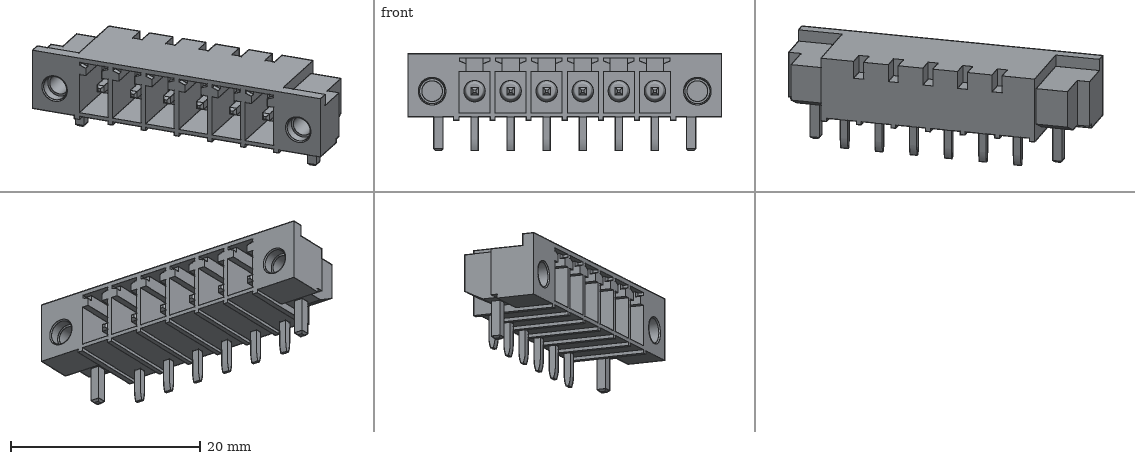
import cadquery as cq
import math


LENGTH = 33.15
DEPTH = 9.2
HEIGHT = 7.05
FLOOR_Z = 0.35

POLE_COUNT = 6
PITCH = 3.8
FIRST_POLE_X = -PITCH * (POLE_COUNT - 1) / 2
POLE_X = [FIRST_POLE_X + PITCH * i for i in range(POLE_COUNT)]
WALL_X = [x + PITCH / 2 for x in POLE_X[:-1]]

CAVITY_WIDTH = 3.28
CAVITY_BOTTOM_Z = 0.8
CAVITY_TOP_Z = 5.17
CAVITY_DEPTH = 5.97
INNER_WALL = PITCH - CAVITY_WIDTH
CAVITY_ROW_LENGTH = PITCH * POLE_COUNT - INNER_WALL
END_WALL = 0.6
BODY_LENGTH = CAVITY_ROW_LENGTH + 2 * END_WALL

SLOT_WIDTH = 1.82
SLOT_DEPTH = 3.98
SLOT_TOP_Z = 6.55
FLARE_WIDTH = 3.2
FLARE_EDGE_HEIGHT = 0.3
FLARE_HEIGHT = 0.55
FLARE_DEPTH = 0.6

FLANGE_THICKNESS = 1.3
WING_TOP_Z = 5.8
WING_BACK_Y = 8.65
WING_STEP_Y = 4.28
SEAT_Z = 0.8
SLOPE_START_Y = 6.55
SLOPE_END_Z = 1.82
WING_REAR_LENGTH = 30.43
SHOULDER_Y = 4.97

HOLE_X = 14.02
AXIS_Z = 3.08
HOLE_RADIUS = 1.33
HOLE_DEPTH = 1.23
HOLE_MOUTH_RADIUS = 1.45
HOLE_MOUTH_DEPTH = 0.13
PILOT_RADIUS = 1.1
PILOT_DEPTH = 4.97

NOTCH_WIDTH = 1.1
NOTCH_DEPTH = 2.0
NOTCH_FLOOR_Z = CAVITY_TOP_Z

COLLAR_BASE_RADIUS = 1.13
COLLAR_TOP_RADIUS = 0.9
COLLAR_HEIGHT = 0.73
COLLAR_ROUND = 0.182

PIN_SIZE = 0.8
PIN_TIP_Y = 1.52
PIN_TIP_SIZE = 0.3
PIN_TIP_LENGTH = 0.33
LEG_Y = 7.92
LEG_THICKNESS = 0.73
LEG_BOTTOM_Z = -3.2
LEG_TIP_THICKNESS = 0.3
LEG_TIP_HEIGHT = 1.15

PEG_X = 13.35
PEG_Y = 5.67
PEG_SIZE = 1.03
PEG_CHAMFER = 0.23


def box(x_center, width, y_min, y_max, z_min, z_max):
    """Box centred on x_center and spanning the given Y and Z ranges."""
    return (
        cq.Workplane("XY")
        .box(width, y_max - y_min, z_max - z_min, centered=(True, False, False))
        .translate((x_center, y_min, z_min))
    )


def revolved(profile, x):
    """Turn a closed (radius, Y) profile about the Y-parallel axis at x and AXIS_Z."""
    return (
        cq.Workplane("XY")
        .polyline(profile)
        .close()
        .revolve(360, (0, 0, 0), (0, 1, 0))
        .translate((x, 0, AXIS_Z))
    )


def make_wings():
    """Flange and both wings as one side profile, narrowed behind the shoulders."""
    profile = [
        (0, FLOOR_Z),
        (WING_STEP_Y, FLOOR_Z),
        (WING_STEP_Y, SEAT_Z),
        (SLOPE_START_Y, SEAT_Z),
        (WING_BACK_Y, SLOPE_END_Z),
        (WING_BACK_Y, WING_TOP_Z),
        (FLANGE_THICKNESS, WING_TOP_Z),
        (FLANGE_THICKNESS, HEIGHT),
        (0, HEIGHT),
    ]
    wings = cq.Workplane("YZ").polyline(profile).close().extrude(LENGTH / 2, both=True)
    front = box(0, LENGTH, 0, SHOULDER_Y, 0, HEIGHT)
    rear = box(0, WING_REAR_LENGTH, SHOULDER_Y, DEPTH, 0, HEIGHT)
    return wings.intersect(front.union(rear))


def make_ribs():
    """Standing ribs below every cavity wall."""
    end_x = (CAVITY_ROW_LENGTH + END_WALL) / 2
    ribs = box(-end_x, END_WALL, 0, DEPTH, 0, FLOOR_Z)
    ribs = ribs.union(box(end_x, END_WALL, 0, DEPTH, 0, FLOOR_Z))
    for x in WALL_X:
        ribs = ribs.union(box(x, INNER_WALL, 0, DEPTH, 0, FLOOR_Z))
    return ribs


def make_collar(x):
    """Tapered collar with a rounded front rim, on the back wall of a cavity."""
    front_y = CAVITY_DEPTH - COLLAR_HEIGHT
    collar = revolved(
        [
            (0, CAVITY_DEPTH),
            (COLLAR_BASE_RADIUS, CAVITY_DEPTH),
            (COLLAR_TOP_RADIUS, front_y),
            (0, front_y),
        ],
        x,
    )
    return collar.faces("<Y").edges().fillet(COLLAR_ROUND)


def make_cavity(x):
    """Plug cavity with its latch slot and flared slot mouth, minus the contact collar."""
    cavity = box(x, CAVITY_WIDTH, 0, CAVITY_DEPTH, CAVITY_BOTTOM_Z, CAVITY_TOP_Z)
    slot = box(x, SLOT_WIDTH, 0, SLOT_DEPTH, CAVITY_TOP_Z, SLOT_TOP_Z)
    flare = (
        cq.Workplane("XZ")
        .polyline([
            (-FLARE_WIDTH / 2, SLOT_TOP_Z),
            (FLARE_WIDTH / 2, SLOT_TOP_Z),
            (FLARE_WIDTH / 2, SLOT_TOP_Z - FLARE_EDGE_HEIGHT),
            (SLOT_WIDTH / 2, SLOT_TOP_Z - FLARE_HEIGHT),
            (-SLOT_WIDTH / 2, SLOT_TOP_Z - FLARE_HEIGHT),
            (-FLARE_WIDTH / 2, SLOT_TOP_Z - FLARE_EDGE_HEIGHT),
        ])
        .close()
        .extrude(-FLARE_DEPTH)
        .translate((x, 0, 0))
    )
    return cavity.union(slot).union(flare).cut(make_collar(x))


def make_screw_hole(x):
    """Blind stepped hole with a countersunk mouth."""
    return revolved(
        [
            (0, 0),
            (HOLE_MOUTH_RADIUS, 0),
            (HOLE_RADIUS, HOLE_MOUTH_DEPTH),
            (HOLE_RADIUS, HOLE_DEPTH),
            (PILOT_RADIUS, HOLE_DEPTH),
            (PILOT_RADIUS, PILOT_DEPTH),
            (0, PILOT_DEPTH),
        ],
        x,
    )


def make_contact(x):
    """Bent contact: a square pin with a pyramid tip and a leg with a rounded taper."""
    pin_back_y = LEG_Y + LEG_THICKNESS / 2
    shank_y = PIN_TIP_Y + PIN_TIP_LENGTH
    half_pin = PIN_SIZE / 2
    shank = box(0, PIN_SIZE, shank_y, pin_back_y, AXIS_Z - half_pin, AXIS_Z + half_pin)
    tip = (
        cq.Workplane("XZ", origin=(0, shank_y, AXIS_Z))
        .rect(PIN_SIZE, PIN_SIZE)
        .workplane(offset=PIN_TIP_LENGTH)
        .rect(PIN_TIP_SIZE, PIN_TIP_SIZE)
        .loft()
    )
    half_leg = LEG_THICKNESS / 2
    half_tip = LEG_TIP_THICKNESS / 2
    taper_z = LEG_BOTTOM_Z + LEG_TIP_HEIGHT
    arc_radius = (LEG_TIP_HEIGHT**2 + (half_leg - half_tip)**2) / (2 * (half_leg - half_tip))
    mid_height = LEG_TIP_HEIGHT / 2
    mid_half = half_leg - arc_radius + math.sqrt(arc_radius**2 - mid_height**2)
    mid_z = taper_z - mid_height
    leg = (
        cq.Workplane("YZ")
        .moveTo(-half_leg, AXIS_Z + half_pin)
        .lineTo(-half_leg, taper_z)
        .threePointArc((-mid_half, mid_z), (-half_tip, LEG_BOTTOM_Z))
        .lineTo(half_tip, LEG_BOTTOM_Z)
        .threePointArc((mid_half, mid_z), (half_leg, taper_z))
        .lineTo(half_leg, AXIS_Z + half_pin)
        .close()
        .extrude(half_pin, both=True)
        .translate((0, LEG_Y, 0))
    )
    return shank.union(tip).union(leg).translate((x, 0, 0))


def make_peg(x):
    """Square fixing peg below a wing, chamfered at its free end."""
    half = PEG_SIZE / 2
    peg = box(x, PEG_SIZE, PEG_Y - half, PEG_Y + half, LEG_BOTTOM_Z, SEAT_Z)
    return peg.faces("<Z").edges().chamfer(PEG_CHAMFER)


def make_housing(contacts):
    """Housing with a matching passage for every contact."""
    body = box(0, BODY_LENGTH, 0, DEPTH, FLOOR_Z, HEIGHT)
    body = body.union(make_wings()).union(make_ribs())
    for x in POLE_X:
        body = body.cut(make_cavity(x))
    for x in WALL_X:
        body = body.cut(box(x, NOTCH_WIDTH, DEPTH - NOTCH_DEPTH, DEPTH, NOTCH_FLOOR_Z, HEIGHT))
    for x in (-HOLE_X, HOLE_X):
        body = body.cut(make_screw_hole(x))
    for contact in contacts:
        body = body.cut(contact)
    return body


contacts = [make_contact(x) for x in POLE_X]
pegs = [make_peg(x) for x in (-PEG_X, PEG_X)]
housing = make_housing(contacts)

result = cq.Compound.makeCompound([
    housing.val(),
    *[contact.val() for contact in contacts],
    *[peg.val() for peg in pegs],
])